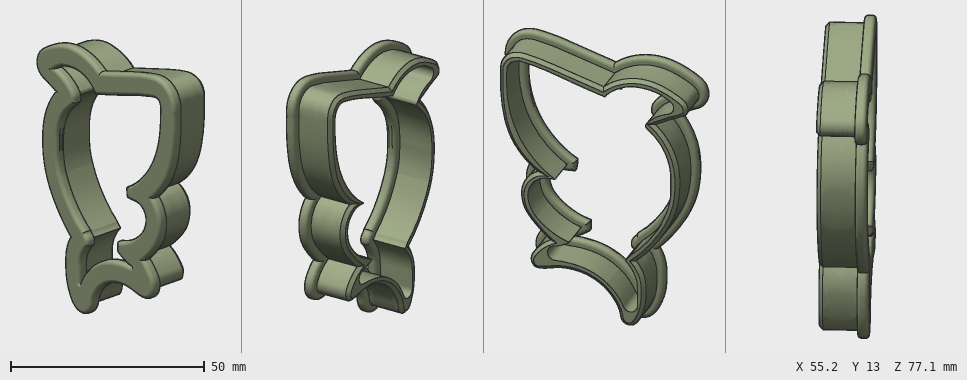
import cadquery as cq
import math

flange_thickness = 3.0
wall_height = 10.0
wall_thickness = 2.0
band_width = 6.0
flange_round = 1.0
edge_bevel = 1.0

overhang = (band_width - wall_thickness) / 2

straight_tolerance = 1e-6
corner_angle = 8.0
arc_samples = 3


wall_outer_loop = [
    (17.3, [(-2.6, 30.15), (11.75, 34.7), (19.75, 36.55), (25.6, 30.95), (25.55, 29.1), (24.45, 16.95)]),
    (-21.4, [(15.3, 3.55), (19.85, -3.1), (17.8, -9.3)]),
    (-27.3, [
        (11.9, -15.4), (16.75, -19.85), (17.05, -22.45), (15.15, -23.85), (12.25, -23.5), (2.05, -23.9),
        (-6.2, -31.15), (-7.2, -34.4), (-11.65, -35.55), (-13.95, -29.75), (-14.1, -24.4),
    ]),
    (139.7, [(-11.45, -18.05), (-20.35, -7.1), (-23.0, 0.7), (-23.25, 8.45)]),
    (152.8, [(-16.7, 21.45), (-24.2, 24.8), (-25.6, 26.95), (-24.3, 29.4), (-17.25, 33.05), (-11.2, 33.7)]),
]

opening_loop = [
    (16.3, [(-4.1, 25.4), (10.25, 30.0), (19.95, 32.6), (21.55, 31.35), (21.25, 23.05)]),
    (-90.0, [(8.15, 3.3)]),
    (-6.0, [(8.5, 0.45), (11.9, 0.4), (15.8, -3.7), (13.9, -7.85)]),
    (-90.0, [(4.55, -13.45)]),
    (-38.0, [(4.55, -16.05)]),
    (180.0, [(10.45, -18.6), (4.5, -19.1), (-5.2, -23.65)]),
    (90.0, [(-10.15, -30.35), (-10.15, -25.45), (-9.15, -21.65)]),
    (70.0, [(-6.95, -18.75), (-7.8, -16.0)]),
    (143.0, [(-8.4, -15.15), (-18.1, -2.35), (-19.2, 3.9), (-19.2, 6.85), (-14.05, 18.25)]),
    (93.0, [(-12.35, 20.1), (-12.35, 20.9), (-13.1, 23.1)]),
    (38.7, [(-20.0, 27.25), (-15.35, 29.4), (-12.45, 29.75), (-5.5, 27.3)]),
]


def tangent_edge(start, tangent, end):
    """Arc from start to end that leaves along tangent, or a line where it has no bend."""
    if (end - start).cross(tangent).Length < straight_tolerance:
        return cq.Edge.makeLine(start, end)
    return cq.Edge.makeTangentArc(start, tangent, end)


def loop_wire(stretches):
    """Closed wire in the plane Y = 0 through chains of tangent arcs."""
    edges = []
    followers = stretches[1:] + stretches[:1]
    for (heading, points), (_, next_points) in zip(stretches, followers):
        angle = math.radians(heading)
        tangent = cq.Vector(math.cos(angle), 0, math.sin(angle))
        corners = [cq.Vector(x, 0, z) for x, z in points + next_points[:1]]
        for start, end in zip(corners, corners[1:]):
            edge = tangent_edge(start, tangent, end)
            tangent = edge.tangentAt(1)
            edges.append(edge)
    return cq.Wire.assembleEdges(edges)


def ordered_edges(wire):
    """Edges of a closed wire as (positions, start tangent, end tangent), head to tail."""
    edges = list(wire)
    first, second = edges[0], edges[1]

    def gap(point):
        return min((point - second.startPoint()).Length, (point - second.endPoint()).Length)

    here = first.startPoint()
    if gap(first.startPoint()) < gap(first.endPoint()):
        here = first.endPoint()
    walked = []
    for edge in edges:
        forward = (edge.startPoint() - here).Length < (edge.endPoint() - here).Length
        fractions = [i / arc_samples for i in range(arc_samples + 1)]
        positions = [edge.positionAt(f) for f in fractions]
        tangents = [edge.tangentAt(0), edge.tangentAt(1)]
        if not forward:
            positions.reverse()
            tangents = [-tangents[1], -tangents[0]]
        walked.append((positions, tangents[0], tangents[1]))
        here = positions[-1]
    return walked


def smooth_wire(wire):
    """The same wire with a single smooth curve from each sharp corner to the next."""
    pieces = ordered_edges(wire)
    limit = math.radians(corner_angle)
    starts = [i for i in range(len(pieces)) if pieces[i - 1][2].getAngle(pieces[i][1]) > limit]
    pieces = pieces[starts[0]:] + pieces[:starts[0]]
    starts = [i - starts[0] for i in starts] + [len(pieces)]
    curves = []
    for begin, end in zip(starts, starts[1:]):
        run = pieces[begin:end]
        points = [run[0][0][0]]
        for positions, _, _ in run:
            points += positions[1:]
        curves.append(cq.Edge.makeSpline(points))
    return cq.Wire.assembleEdges(curves)


def plate(wire, depth):
    return cq.Workplane(cq.Solid.extrudeLinear(wire, [], cq.Vector(0, depth, 0)))


def make_flange(outer, opening):
    """Flange made as a half with its outward edges rounded, and the mirror image of that half."""
    half_thickness = flange_thickness / 2
    half = plate(outer, half_thickness).cut(plate(opening, half_thickness))
    half = half.faces("<Y").edges().fillet(flange_round)
    return half.union(half.mirror("XZ", (0, half_thickness, 0)))


def make_wall(outer, inner):
    """Wall with its outer edge beveled at the far end; it reaches through the flange to Y = 0."""
    total_depth = flange_thickness + wall_height
    wall = plate(outer, total_depth).faces(">Y").edges().chamfer(edge_bevel)
    return wall.cut(plate(inner, total_depth))


wall_outer = loop_wire(wall_outer_loop)
opening = loop_wire(opening_loop)
flange_outer = wall_outer.offset2D(overhang)[0]
wall_inner = opening.offset2D(overhang)[0]

flange = make_flange(smooth_wire(flange_outer), smooth_wire(opening))
wall = make_wall(smooth_wire(wall_outer), wall_inner)
result = flange.union(wall)